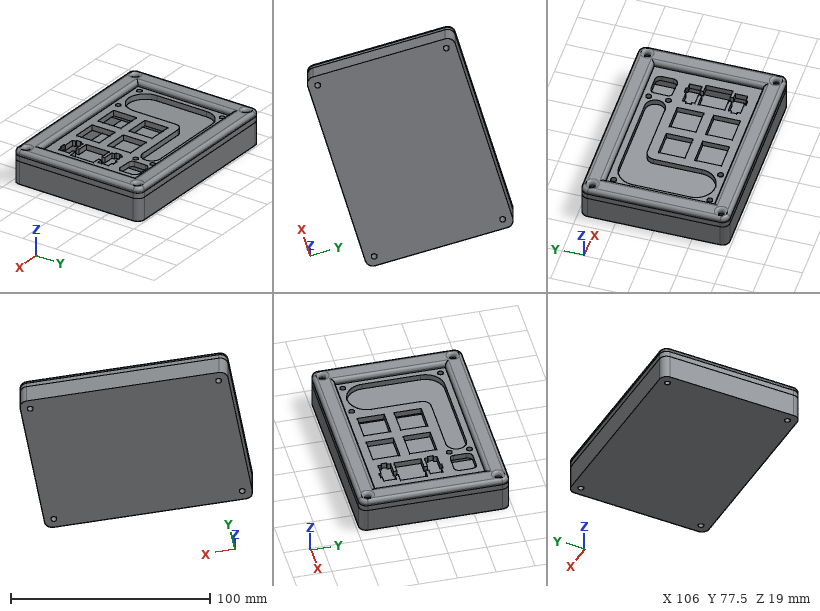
import cadquery as cq

LENGTH = 106.0
WIDTH = 77.5
HEIGHT = 19.0
CORNER_RADIUS = 4.0

FRAME_HEIGHT = 3.0
PLATE_HEIGHT = 3.1
BASE_HEIGHT = HEIGHT - FRAME_HEIGHT - PLATE_HEIGHT
PLATE_TOP = BASE_HEIGHT + PLATE_HEIGHT

TRAY_WALL = 9.0
TRAY_FLOOR = 2.0

FRAME_BORDER = 10.2
FRAME_ROUNDING = 2.1

SCREW_INSET = 5.0
HOLE_DIAMETER = 2.9
FLARE_RADIUS = 2.0

WINDOW_LEFT = -40.1
WINDOW_RIGHT = 20.5
WINDOW_TOP = 25.2
WINDOW_BOTTOM = -25.2
WINDOW_LEG_WIDTH = 20.1
WINDOW_ARM_WIDTH = 10.6
WINDOW_INNER_RADIUS = 4.5

PANEL_MARGIN = 3.2
PANEL_THICKNESS = 2.5

FIXING_LEFT = -39.3
FIXING_LEG_RIGHT = -20.7
FIXING_ARM_RIGHT = 21.9
FIXING_ARM_BOTTOM = 14.8

KEY_SIZE = 14.0
KEY_PITCH = 19.1
KEY_GRID_CENTER = (1.9, -7.3)

LARGE_KEY_CENTER = (30.5, -7.2)
STABILIZER_OFFSET = 12.0
STABILIZER_LENGTH = 12.3
STABILIZER_WIDTH = 6.5
STABILIZER_SHIFT = -0.6
SLOT_WIDTH = 3.0
SLOT_SHIFT = 1.0
SLOT_OVERHANG = 1.0
SIDE_NOTCH_DEPTH = 1.1

OPENING_LEFT = 24.9
OPENING_RIGHT = 37.1
OPENING_TOP = 25.7
OPENING_BOTTOM_LEFT = 14.3
OPENING_BOTTOM_RIGHT = 13.9
OPENING_RADIUS = 2.9
OPENING_SMALL_RADIUS = 2.0


def rounded_slab(bottom, height):
    """Slab with the case outline, standing at the given height."""
    slab = cq.Workplane("XY").workplane(offset=bottom).rect(LENGTH, WIDTH).extrude(height)
    return slab.edges("|Z").fillet(CORNER_RADIUS)


def box_cutter(size_x, size_y, center, bottom, height):
    """Rectangular block centred on a point in plan."""
    return cq.Workplane("XY").workplane(offset=bottom).center(*center).rect(size_x, size_y).extrude(height)


def screw_points():
    """Centres of the four corner screw holes."""
    x = LENGTH / 2 - SCREW_INSET
    y = WIDTH / 2 - SCREW_INSET
    return [(sx * x, sy * y) for sx in (-1, 1) for sy in (-1, 1)]


def drill_screw_holes(body):
    """Cut the corner screw holes through the full stack height."""
    drills = cq.Workplane("XY").pushPoints(screw_points()).circle(HOLE_DIAMETER / 2).extrude(HEIGHT)
    return body.cut(drills)


def make_base():
    """Tray with a square-cornered cavity, open at the top."""
    base = rounded_slab(0, BASE_HEIGHT)
    cavity = box_cutter(
        LENGTH - 2 * TRAY_WALL, WIDTH - 2 * TRAY_WALL, (0, 0), TRAY_FLOOR, BASE_HEIGHT - TRAY_FLOOR
    )
    return drill_screw_holes(base.cut(cavity))


def window_cutter():
    """J-shaped window: a wide leg and a narrow arm, both with round ends."""
    leg_radius = WINDOW_LEG_WIDTH / 2
    arm_radius = WINDOW_ARM_WIDTH / 2
    leg_right = WINDOW_LEFT + WINDOW_LEG_WIDTH
    leg_end = WINDOW_BOTTOM + leg_radius
    arm_bottom = WINDOW_TOP - WINDOW_ARM_WIDTH
    arm_end = WINDOW_RIGHT - arm_radius
    return (
        cq.Workplane("XY")
        .workplane(offset=BASE_HEIGHT)
        .moveTo(WINDOW_LEFT, leg_end)
        .lineTo(WINDOW_LEFT, WINDOW_TOP - leg_radius)
        .radiusArc((WINDOW_LEFT + leg_radius, WINDOW_TOP), leg_radius)
        .lineTo(arm_end, WINDOW_TOP)
        .threePointArc((WINDOW_RIGHT, WINDOW_TOP - arm_radius), (arm_end, arm_bottom))
        .lineTo(leg_right + WINDOW_INNER_RADIUS, arm_bottom)
        .radiusArc((leg_right, arm_bottom - WINDOW_INNER_RADIUS), -WINDOW_INNER_RADIUS)
        .lineTo(leg_right, leg_end)
        .threePointArc((WINDOW_LEFT + leg_radius, WINDOW_BOTTOM), (WINDOW_LEFT, leg_end))
        .close()
        .extrude(PLATE_HEIGHT)
    )


def fixing_hole_cutter():
    """Five small holes beside the corners of the J-shaped window."""
    points = [
        (FIXING_LEFT, WINDOW_TOP),
        (FIXING_ARM_RIGHT, WINDOW_TOP),
        (FIXING_ARM_RIGHT, FIXING_ARM_BOTTOM),
        (FIXING_LEFT, WINDOW_BOTTOM),
        (FIXING_LEG_RIGHT, WINDOW_BOTTOM),
    ]
    plane = cq.Workplane("XY").workplane(offset=BASE_HEIGHT)
    return plane.pushPoints(points).circle(HOLE_DIAMETER / 2).extrude(PLATE_HEIGHT)


def key_cutter():
    """Two-by-two grid of square key cutouts."""
    plane = cq.Workplane("XY").workplane(offset=BASE_HEIGHT).center(*KEY_GRID_CENTER)
    return plane.rarray(KEY_PITCH, KEY_PITCH, 2, 2).rect(KEY_SIZE, KEY_SIZE).extrude(PLATE_HEIGHT)


def large_key_cutter():
    """Key cutout joined by a long slot to a stabilizer cutout above and below it."""
    x, y = LARGE_KEY_CENTER
    slot_length = 2 * STABILIZER_OFFSET + STABILIZER_WIDTH + 2 * SLOT_OVERHANG
    cutter = box_cutter(KEY_SIZE, KEY_SIZE, (x, y), BASE_HEIGHT, PLATE_HEIGHT)
    cutter = cutter.union(
        box_cutter(SLOT_WIDTH, slot_length, (x + SLOT_SHIFT, y), BASE_HEIGHT, PLATE_HEIGHT)
    )
    stabilizer_x = x + STABILIZER_SHIFT
    notch_x = stabilizer_x - STABILIZER_LENGTH / 2
    for side in (-1, 1):
        stabilizer_y = y + side * STABILIZER_OFFSET
        stabilizer = box_cutter(
            STABILIZER_LENGTH, STABILIZER_WIDTH, (stabilizer_x, stabilizer_y), BASE_HEIGHT, PLATE_HEIGHT
        )
        notch = box_cutter(
            2 * SIDE_NOTCH_DEPTH, SLOT_WIDTH, (notch_x, stabilizer_y), BASE_HEIGHT, PLATE_HEIGHT
        )
        cutter = cutter.union(stabilizer).union(notch)
    return cutter


def rounded_opening_cutter():
    """Rounded opening whose lower edge slopes slightly."""
    corners = [
        (OPENING_LEFT, OPENING_TOP),
        (OPENING_RIGHT, OPENING_TOP),
        (OPENING_RIGHT, OPENING_BOTTOM_RIGHT),
        (OPENING_LEFT, OPENING_BOTTOM_LEFT),
    ]
    block = cq.Workplane("XY").workplane(offset=BASE_HEIGHT).polyline(corners).close().extrude(PLATE_HEIGHT)
    block = block.edges("|Z and (>Y or >X)").fillet(OPENING_RADIUS)
    small_corner = cq.selectors.NearestToPointSelector((OPENING_LEFT, OPENING_BOTTOM_LEFT, BASE_HEIGHT))
    return block.edges("|Z").edges(small_corner).fillet(OPENING_SMALL_RADIUS)


def make_plate():
    """Flat plate that carries all the cutouts."""
    plate = rounded_slab(BASE_HEIGHT, PLATE_HEIGHT)
    plate = plate.cut(window_cutter()).cut(fixing_hole_cutter())
    plate = plate.cut(key_cutter()).cut(large_key_cutter()).cut(rounded_opening_cutter())
    return drill_screw_holes(plate)


def make_panel():
    """L-shaped panel against the underside of the plate, closing the J-shaped window."""
    left = WINDOW_LEFT - PANEL_MARGIN
    right = WINDOW_RIGHT + PANEL_MARGIN
    top = WINDOW_TOP + PANEL_MARGIN
    bottom = WINDOW_BOTTOM - PANEL_MARGIN
    leg_right = WINDOW_LEFT + WINDOW_LEG_WIDTH + PANEL_MARGIN
    arm_bottom = WINDOW_TOP - WINDOW_ARM_WIDTH - PANEL_MARGIN
    outline = [
        (left, bottom),
        (left, top),
        (right, top),
        (right, arm_bottom),
        (leg_right, arm_bottom),
        (leg_right, bottom),
    ]
    plane = cq.Workplane("XY").workplane(offset=BASE_HEIGHT - PANEL_THICKNESS)
    return plane.polyline(outline).close().extrude(PANEL_THICKNESS)


def screw_flare_cutter():
    """Trumpet-shaped mouth of a screw hole, with its axis on Z."""
    hole_radius = HOLE_DIAMETER / 2
    mouth_radius = hole_radius + FLARE_RADIUS
    return (
        cq.Workplane("XZ")
        .moveTo(0, HEIGHT - FLARE_RADIUS)
        .lineTo(hole_radius, HEIGHT - FLARE_RADIUS)
        .radiusArc((mouth_radius, HEIGHT), FLARE_RADIUS)
        .lineTo(0, HEIGHT)
        .close()
        .revolve(360, (0, 0, 0), (0, 1, 0))
    )


def make_frame():
    """Top frame with rounded outer and inner upper edges and flared screw holes."""
    frame = rounded_slab(PLATE_TOP, FRAME_HEIGHT)
    opening = box_cutter(
        LENGTH - 2 * FRAME_BORDER, WIDTH - 2 * FRAME_BORDER, (0, 0), PLATE_TOP, FRAME_HEIGHT
    )
    frame = frame.cut(opening).faces(">Z").edges().fillet(FRAME_ROUNDING)
    frame = drill_screw_holes(frame)
    flare = screw_flare_cutter()
    for x, y in screw_points():
        frame = frame.cut(flare.translate((x, y, 0)))
    return frame


base = make_base()
panel = make_panel()
plate = make_plate()
frame = make_frame()

bodies = [base, panel, plate, frame]
result = cq.Compound.makeCompound([body.solids().val() for body in bodies])